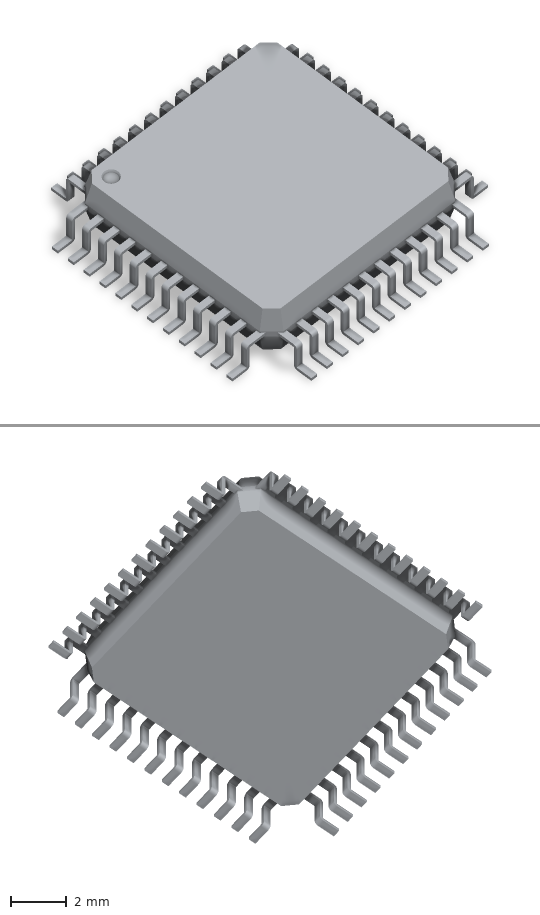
import cadquery as cq
import math

SPAN = 13.1
HEIGHT = 2.3

BODY_WIDTH = 10.01
CORNER_CUT = 0.6
BAND_HEIGHT = 0.29
STANDOFF = 0.1
SIDE_INSET = 0.25

MARK_OFFSET = 4.03
MARK_DIAMETER = 0.7
MARK_FLOOR_DIAMETER = 0.58
MARK_DEPTH = 0.1

LEADS_PER_SIDE = 12
LEAD_PITCH = 0.8
LEAD_WIDTH = 0.3
LEAD_THICKNESS = 0.15
FOOT_LENGTH = 0.73
INNER_BEND = 0.03
LEAD_EMBED = 0.65

body_middle = (HEIGHT + STANDOFF) / 2
taper_height = (HEIGHT - STANDOFF - BAND_HEIGHT) / 2
taper_angle = math.degrees(math.atan(SIDE_INSET / taper_height))
outer_bend = INNER_BEND + LEAD_THICKNESS


def band_outline(z):
    """Square with cut corners, at height z."""
    return (
        cq.Sketch()
        .rect(BODY_WIDTH, BODY_WIDTH)
        .vertices()
        .chamfer(CORNER_CUT)
        .moved(cq.Location(cq.Vector(0, 0, z)))
    )


def make_body():
    """Straight band with a tapered block above and below it."""
    band_bottom = body_middle - BAND_HEIGHT / 2
    band_top = body_middle + BAND_HEIGHT / 2
    band = cq.Workplane().placeSketch(band_outline(band_bottom)).extrude(BAND_HEIGHT)
    upper = cq.Workplane().placeSketch(band_outline(band_top)).extrude(taper_height, taper=taper_angle)
    lower = upper.mirror("XY", (0, 0, body_middle))
    return band.union(upper).union(lower)


def cut_pin_one_mark(body):
    """Shallow recess, narrowing to its floor, in the top face beside the first lead."""
    mark = (
        cq.Workplane(origin=(-MARK_OFFSET, -MARK_OFFSET, HEIGHT))
        .circle(MARK_DIAMETER / 2)
        .workplane(offset=-MARK_DEPTH)
        .circle(MARK_FLOOR_DIAMETER / 2)
        .loft()
    )
    return body.cut(mark)


def make_lead():
    """One gull-wing lead on the +X side, centred on the XZ plane."""
    tip = SPAN / 2
    upright_outer = tip - FOOT_LENGTH
    upright_inner = upright_outer - LEAD_THICKNESS
    shoulder_top = body_middle + LEAD_THICKNESS / 2
    shoulder_bottom = shoulder_top - LEAD_THICKNESS
    root = BODY_WIDTH / 2 - LEAD_EMBED
    profile = (
        cq.Workplane("XZ")
        .moveTo(tip, 0)
        .lineTo(tip, LEAD_THICKNESS)
        .lineTo(upright_outer + INNER_BEND, LEAD_THICKNESS)
        .radiusArc((upright_outer, outer_bend), INNER_BEND)
        .lineTo(upright_outer, shoulder_top - outer_bend)
        .radiusArc((upright_outer - outer_bend, shoulder_top), -outer_bend)
        .lineTo(root, shoulder_top)
        .lineTo(root, shoulder_bottom)
        .lineTo(upright_inner - INNER_BEND, shoulder_bottom)
        .radiusArc((upright_inner, shoulder_bottom - INNER_BEND), INNER_BEND)
        .lineTo(upright_inner, outer_bend)
        .radiusArc((upright_inner + outer_bend, 0), -outer_bend)
        .close()
    )
    return profile.extrude(LEAD_WIDTH / 2, both=True)


def add_leads(body):
    """A centred row of leads on each of the four sides."""
    lead = make_lead()
    first = -LEAD_PITCH * (LEADS_PER_SIDE - 1) / 2
    row = [lead.translate((0, first + i * LEAD_PITCH, 0)) for i in range(LEADS_PER_SIDE)]
    for angle in (0, 90, 180, 270):
        for row_lead in row:
            body = body.union(row_lead.rotate((0, 0, 0), (0, 0, 1), angle))
    return body


result = add_leads(cut_pin_one_mark(make_body()))